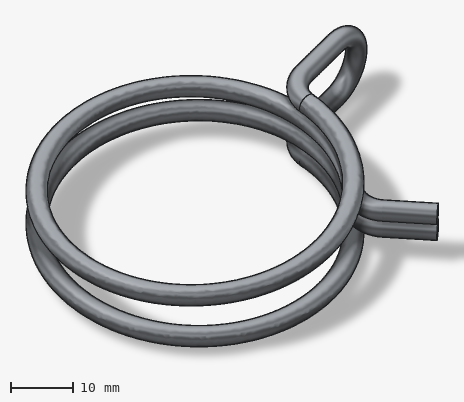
import cadquery as cq
import math


ring_diameter = 54.35
clamp_height = 15.3
tip_y = 40.75

wire_diameter = 3.45
bend_radius = 5.35
ear_tilt = 30.0
tail_gap = 0.1

wire_radius = wire_diameter / 2
coil_radius = ring_diameter / 2 - wire_radius
loop_radius = clamp_height / 2 - wire_radius
loop_z = loop_radius
tail_z = (wire_diameter + tail_gap) / 2

tip_reach = (tip_y - wire_radius) / math.cos(math.radians(ear_tilt))
ear_reach = tip_reach - loop_radius
bend_centre_reach = coil_radius + bend_radius
bend_reach = math.sqrt(bend_centre_reach**2 - bend_radius**2)

loop_angle = 90.0 + ear_tilt
tail_angle = 90.0 - ear_tilt
bend_span = math.degrees(math.asin(bend_radius / bend_centre_reach))
coil_low_angle = tail_angle + bend_span
coil_high_angle = loop_angle - bend_span
coil_sweep = 360.0 + coil_high_angle - coil_low_angle


def polar(radius, angle, z=0.0):
    """Point at a radius and an angle in degrees about the Z axis."""
    turn = math.radians(angle)
    return cq.Vector(radius * math.cos(turn), radius * math.sin(turn), z)


def swept_wire(path, start, direction):
    """Round wire along a path; its first section faces the given direction."""
    section = cq.Plane(origin=start.toTuple(), normal=direction.toTuple())
    return cq.Workplane(section).circle(wire_radius).sweep(path)


def coil():
    """Rising helix of more than one turn, from the tail level to the loop level."""
    rise = loop_z - tail_z
    helix = cq.Wire.makeHelix(rise * 360.0 / coil_sweep, rise, coil_radius)
    turn = swept_wire(helix, polar(coil_radius, 0), cq.Vector(0, 1, 0))
    return turn.rotate((0, 0, 0), (0, 0, 1), coil_low_angle).translate((0, 0, tail_z))


def ear(angle, side, z):
    """Straight radial leg and the bend to its coil, counterclockwise of the leg if side is +1."""
    leg_end = polar(ear_reach, angle, z)
    bend_end = polar(bend_reach, angle, z)
    coil_angle = angle + side * bend_span
    coil_end = polar(coil_radius, coil_angle, z)
    facing_leg = angle - side * 90.0
    facing_axis = coil_angle - side * 180.0
    bend_centre = polar(bend_centre_reach, coil_angle, z)
    bend_middle = bend_centre + polar(bend_radius, (facing_leg + facing_axis) / 2)
    path = cq.Wire.assembleEdges([
        cq.Edge.makeLine(leg_end, bend_end),
        cq.Edge.makeThreePointArc(bend_end, bend_middle, coil_end),
    ])
    return swept_wire(path, leg_end, polar(-1, angle))


def loop():
    """Upright half circle joining the upper and lower legs."""
    upper_end = polar(ear_reach, loop_angle, loop_z)
    lower_end = polar(ear_reach, loop_angle, -loop_z)
    arc = cq.Edge.makeThreePointArc(upper_end, polar(tip_reach, loop_angle), lower_end)
    return swept_wire(cq.Wire.assembleEdges([arc]), upper_end, polar(1, loop_angle))


upper_half = coil().union(ear(loop_angle, -1, loop_z)).union(ear(tail_angle, 1, tail_z))
lower_half = upper_half.mirror("XY")

result = loop().union(upper_half).union(lower_half)